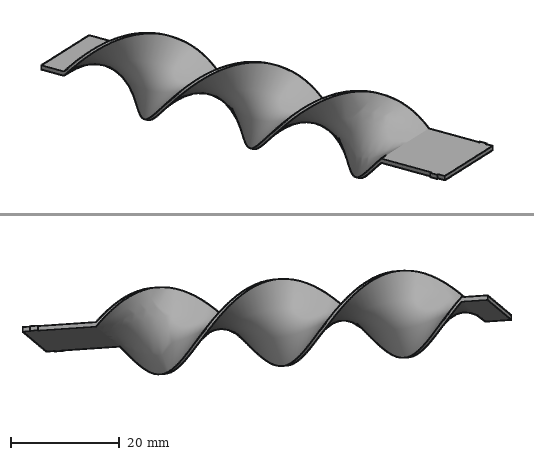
import cadquery as cq

total_length = 89.0
strip_width = 16.0
strip_thickness = 0.9
start_tab_length = 5.0
end_tab_length = 14.1
twist_length = total_length - start_tab_length - end_tab_length
half_turns = 3
twist_angle = -180.0 * half_turns

width_over_bumps = 16.6
bump_length = 1.5
bump_end_distance = 1.5

start_x = -total_length / 2
twist_start_x = start_x + start_tab_length
end_tab_x = twist_start_x + twist_length
bump_centre_x = total_length / 2 - bump_end_distance - bump_length / 2


def strip_section(x):
    """Flat cross-section of the strip, in the YZ plane at x."""
    return cq.Workplane("YZ", origin=(x, 0, 0)).rect(strip_width, strip_thickness)


start_tab = strip_section(start_x).extrude(start_tab_length)
twisted_strip = strip_section(twist_start_x).twistExtrude(twist_length, twist_angle)
end_tab = strip_section(end_tab_x).extrude(end_tab_length)

bump_bar = cq.Workplane("XY", origin=(bump_centre_x, 0, 0)).box(
    bump_length, width_over_bumps, strip_thickness
)

result = start_tab.union(twisted_strip).union(end_tab).union(bump_bar)